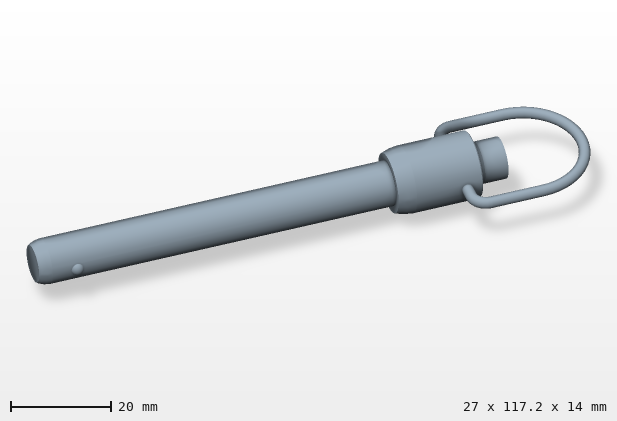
import cadquery as cq
import math

total_length = 117.2
ring_width = 27.0

shank_radius = 4.7
tip_face_radius = 3.9
tip_length = 2.6

sleeve_diameter = 14.0
sleeve_radius = sleeve_diameter / 2
sleeve_face_radius = 6.2
sleeve_start = 75.3
sleeve_rounding_length = 3.6
sleeve_end = 93.0
sleeve_chamfer = 0.2

button_radius = 4.3
button_end = 99.2
collar_radius = 5.4
collar_length = 1.3

ball_radius = 1.4
ball_position = 7.9
ball_reach = 5.5

wire_radius = 1.2
bend_radius = 3.0
leg_position = 89.5


def make_body():
    """Revolve the shank, sleeve, collar and button as one profile about Y."""
    profile = (
        cq.Workplane("XY")
        .lineTo(0, button_end)
        .lineTo(button_radius, button_end)
        .lineTo(button_radius, sleeve_end + collar_length)
        .lineTo(collar_radius, sleeve_end)
        .lineTo(sleeve_radius - sleeve_chamfer, sleeve_end)
        .lineTo(sleeve_radius, sleeve_end - sleeve_chamfer)
        .lineTo(sleeve_radius, sleeve_start + sleeve_rounding_length)
        .tangentArcPoint((sleeve_face_radius, sleeve_start), relative=False)
        .lineTo(shank_radius, sleeve_start)
        .lineTo(shank_radius, tip_length)
        .tangentArcPoint((tip_face_radius, 0), relative=False)
        .close()
    )
    return profile.revolve(360, (0, 0, 0), (0, 1, 0))


def make_ring():
    """Sweep the wire around the ring; both ends stop inside the sleeve."""
    arch_radius = ring_width / 2 - wire_radius
    arch_center = total_length - ring_width / 2
    leg_end = sleeve_radius / 2
    bend_x = arch_radius - bend_radius
    bend_y = leg_position + bend_radius
    bend_mid_x = bend_x + bend_radius * math.sqrt(0.5)
    bend_mid_y = bend_y - bend_radius * math.sqrt(0.5)
    path = (
        cq.Workplane("XY")
        .moveTo(leg_end, leg_position)
        .lineTo(bend_x, leg_position)
        .threePointArc((bend_mid_x, bend_mid_y), (arch_radius, bend_y))
        .lineTo(arch_radius, arch_center)
        .threePointArc((0, arch_center + arch_radius), (-arch_radius, arch_center))
        .lineTo(-arch_radius, bend_y)
        .threePointArc((-bend_mid_x, bend_mid_y), (-bend_x, leg_position))
        .lineTo(-leg_end, leg_position)
    )
    section = cq.Workplane("YZ", origin=(leg_end, leg_position, 0)).circle(wire_radius)
    return section.sweep(path)


def make_ball(side):
    """Locking ball standing out of the shank on the +X (1) or -X (-1) side."""
    center_x = side * (ball_reach - ball_radius)
    return cq.Workplane("XY").sphere(ball_radius).translate((center_x, ball_position, 0))


result = make_body().union(make_ring())
for side in (-1, 1):
    result = result.union(make_ball(side))